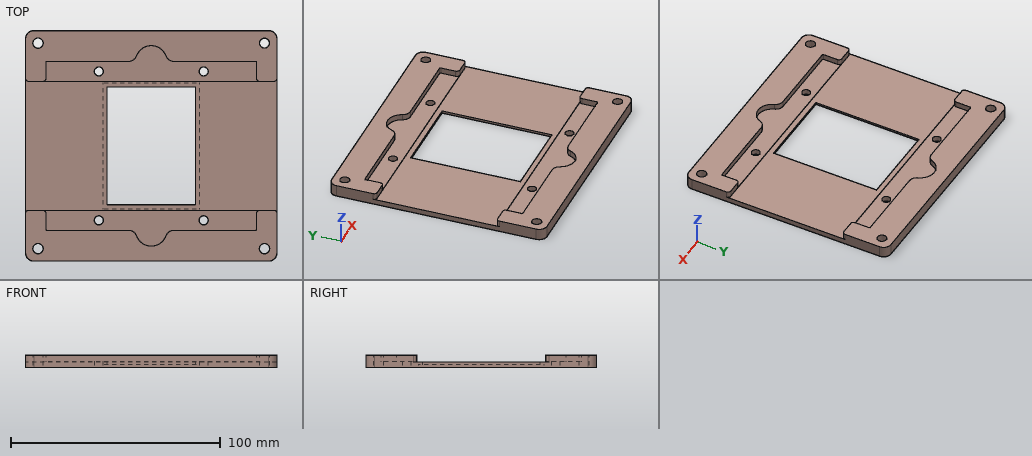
import cadquery as cq
import math

LENGTH = 120.0
WIDTH = 110.0
THICKNESS = 6.0
CORNER_RADIUS = 4.0

CHANNEL_WIDTH = 61.5
CHANNEL_FLOOR = 2.8
EAR_RADIUS = 1.5

POCKET_FLOOR = 3.0
POCKET_LENGTH = 100.4
POCKET_WALL_Y = 40.3
POCKET_CORNER_RADIUS = 0.5
BULGE_RADIUS = 7.5
BLEND_RADIUS = 4.0

WINDOW_LENGTH = 42.0
WINDOW_WIDTH = 56.0
LIP_THICKNESS = 1.2
LIP_WIDTH = 2.0

CORNER_HOLE_DIAMETER = 4.8
TIGHT_CORNER_HOLE_DIAMETER = 4.6
CORNER_HOLE_X = 54.0
CORNER_HOLE_Y = 49.0
POCKET_HOLE_DIAMETER = 4.2
POCKET_HOLE_X = 25.0
POCKET_HOLE_Y = 35.5


def make_plate():
    plate = cq.Workplane("XY").box(LENGTH, WIDTH, THICKNESS, centered=(True, True, False))
    return plate.edges("|Z").fillet(CORNER_RADIUS)


def make_channel():
    channel = cq.Workplane("XY").workplane(offset=CHANNEL_FLOOR)
    return channel.rect(LENGTH, CHANNEL_WIDTH).extrude(THICKNESS - CHANNEL_FLOOR)


def make_pocket():
    """Pocket on the +Y side: a straight slot whose back wall swells into a blended arc."""
    half = POCKET_LENGTH / 2
    mouth_y = CHANNEL_WIDTH / 2
    wall_y = POCKET_WALL_Y
    center_distance = BULGE_RADIUS + BLEND_RADIUS
    blend_x = math.sqrt(center_distance ** 2 - BLEND_RADIUS ** 2)
    touch_x = blend_x * BULGE_RADIUS / center_distance
    touch_y = wall_y + BLEND_RADIUS * BULGE_RADIUS / center_distance
    outline = (
        cq.Workplane("XY")
        .workplane(offset=POCKET_FLOOR)
        .moveTo(-half - EAR_RADIUS, mouth_y)
        .radiusArc((-half, mouth_y + EAR_RADIUS), -EAR_RADIUS)
        .lineTo(-half, wall_y - POCKET_CORNER_RADIUS)
        .radiusArc((-half + POCKET_CORNER_RADIUS, wall_y), POCKET_CORNER_RADIUS)
        .lineTo(-blend_x, wall_y)
        .radiusArc((-touch_x, touch_y), -BLEND_RADIUS)
        .threePointArc((0, wall_y + BULGE_RADIUS), (touch_x, touch_y))
        .radiusArc((blend_x, wall_y), -BLEND_RADIUS)
        .lineTo(half - POCKET_CORNER_RADIUS, wall_y)
        .radiusArc((half, wall_y - POCKET_CORNER_RADIUS), POCKET_CORNER_RADIUS)
        .lineTo(half, mouth_y + EAR_RADIUS)
        .radiusArc((half + EAR_RADIUS, mouth_y), -EAR_RADIUS)
        .close()
    )
    return outline.extrude(THICKNESS - POCKET_FLOOR)


def make_ear_end_rounding(side):
    """Waste outside the rounded outer corner of the +Y ear at one end (side is -1 or +1)."""
    end_x = side * LENGTH / 2
    mouth_y = CHANNEL_WIDTH / 2
    return (
        cq.Workplane("XY")
        .workplane(offset=CHANNEL_FLOOR)
        .moveTo(end_x, mouth_y)
        .lineTo(end_x, mouth_y + EAR_RADIUS)
        .radiusArc((end_x - side * EAR_RADIUS, mouth_y), side * EAR_RADIUS)
        .close()
        .extrude(THICKNESS - CHANNEL_FLOOR)
    )


def make_window():
    """Window with a wider recess under it that leaves a thin lip."""
    recess_height = CHANNEL_FLOOR - LIP_THICKNESS
    opening = cq.Workplane("XY").rect(WINDOW_LENGTH, WINDOW_WIDTH).extrude(CHANNEL_FLOOR)
    recess = (
        cq.Workplane("XY")
        .rect(WINDOW_LENGTH + 2 * LIP_WIDTH, WINDOW_WIDTH + 2 * LIP_WIDTH)
        .extrude(recess_height)
    )
    return opening.union(recess)


def make_holes(diameter, points):
    return cq.Workplane("XY").pushPoints(points).circle(diameter / 2).extrude(THICKNESS)


def make_corner_holes():
    """Three equal corner holes and a tighter one in the (+X, +Y) corner."""
    x = CORNER_HOLE_X
    y = CORNER_HOLE_Y
    equal_holes = make_holes(CORNER_HOLE_DIAMETER, [(-x, y), (-x, -y), (x, -y)])
    tight_hole = make_holes(TIGHT_CORNER_HOLE_DIAMETER, [(x, y)])
    return equal_holes.union(tight_hole)


def make_pocket_holes():
    points = [(sx * POCKET_HOLE_X, sy * POCKET_HOLE_Y) for sx in (-1, 1) for sy in (-1, 1)]
    return make_holes(POCKET_HOLE_DIAMETER, points)


side_cuts = make_pocket()
for side in (-1, 1):
    side_cuts = side_cuts.union(make_ear_end_rounding(side))

result = make_plate().cut(make_channel())
result = result.cut(side_cuts).cut(side_cuts.mirror("XZ"))
result = result.cut(make_window())
result = result.cut(make_corner_holes())
result = result.cut(make_pocket_holes())